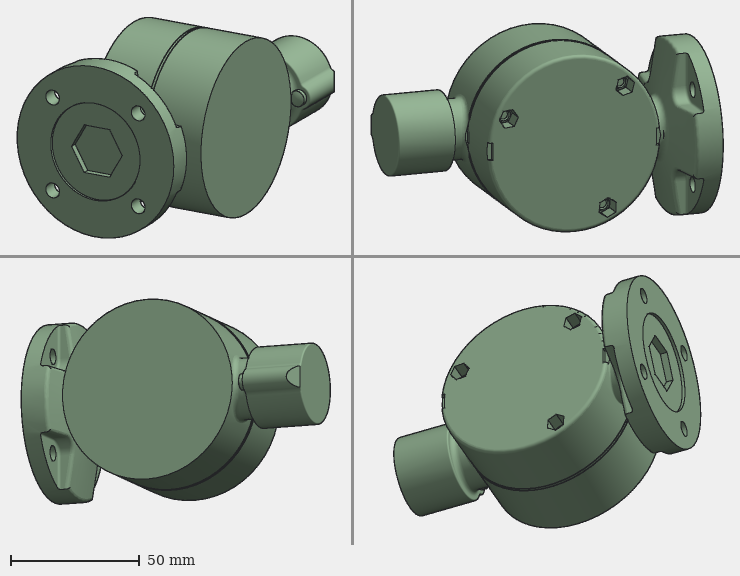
import cadquery as cq
import math

SELECT_MARGIN = 0.6

JOIN_OVERLAP = 1.2

HEX_HALF_STEP = 30.0

BODY_DIAMETER = 71.0
BODY_RADIUS = BODY_DIAMETER / 2
BODY_LEFT = -13.5
BODY_RIGHT = 36.9
RIM_FILLET = 1.4
SEAM_START = 10.9
SEAM_WIDTH = 1.2
SEAM_DEPTH = 0.2
PORT_ROOT_FILLET = 2.0
FLANGE_ROOT_FILLET = 0.6

NOTCH_WIDTH = 6.9
NOTCH_DEPTH = 1.8

SCREW_CIRCLE_RADIUS = 30.0
SCREW_MIDDLE_ANGLE = 134.0
SCREW_STEP_ANGLE = 109.0
WELL_ACROSS_CORNERS = 7.8
WELL_DEPTH = 7.1
SCREW_HEAD_RADIUS = 2.8
SCREW_HEAD_HEIGHT = 1.2
SCREW_SOCKET_RADIUS = 2.3
SCREW_SOCKET_DEPTH = 0.7
SCREW_SOCKET_TAPER = 35.0

FLANGE_FACE_Y = -53.6
FLANGE_RADIUS = 35.0
FLANGE_EDGE_FILLET = 1.5
FLANGE_NECK_RADIUS = 11.7
FLANGE_NECK_FILLET = 2.4
CONE_TOP_Y = -38.5
CONE_ANGLE = 10.0
CONE_RIM_Y = CONE_TOP_Y - (FLANGE_RADIUS - FLANGE_NECK_RADIUS) * math.tan(math.radians(CONE_ANGLE))
BOLT_OFFSET = 19.1
BOLT_HOLE_DIAMETER = 6.0
BOLT_PAD_Y = -46.6
BOLT_PAD_CORNER = 5.9
BOLT_PAD_FLOOR_FILLET = 1.1
PLUG_RADIUS = 19.9
PLUG_RECESS = 1.2
HEX_KEY_ACROSS_FLATS = 19.5
HEX_KEY_DEPTH = 2.8

PORT_X = 23.2
PORT_RADIUS = 15.9
PORT_BOTTOM_Y = 41.6
PORT_TOP_Y = 64.9
PORT_EDGE_FILLET = 0.6
PORT_NECK_RADIUS = 12.0
PORT_NECK_FILLET = 2.4

LUG_X = 37.2
LUG_RADIUS = 5.0
LUG_BLEND_RADIUS = 2.4
LUG_BEVEL_WIDTH = 2.6
LUG_BEVEL_HEIGHT = 4.7
LOCK_SCREW_RADIUS = 3.2
LOCK_SCREW_EDGE_Y = 39.6
LOCK_SCREW_TIP_Y = 38.6


def cylinder_y(x, radius, start_y, end_y):
    """Cylinder along +Y, centred on Z = 0."""
    return cq.Workplane("XZ", origin=(x, start_y, 0)).circle(radius).extrude(start_y - end_y)


def make_flange():
    """Flange disc with a conical back, blended into its neck."""
    flange = (
        cq.Workplane("XY")
        .moveTo(0, FLANGE_FACE_Y)
        .lineTo(FLANGE_RADIUS, FLANGE_FACE_Y)
        .lineTo(FLANGE_RADIUS, CONE_RIM_Y)
        .lineTo(FLANGE_NECK_RADIUS, CONE_TOP_Y)
        .lineTo(FLANGE_NECK_RADIUS, 0)
        .lineTo(0, 0)
        .close()
        .revolve(360, (0, 0, 0), (0, 1, 0))
    )
    neck_root = cq.selectors.BoxSelector(
        (-FLANGE_RADIUS, CONE_TOP_Y - SELECT_MARGIN, -FLANGE_RADIUS),
        (FLANGE_RADIUS, CONE_TOP_Y + SELECT_MARGIN, FLANGE_RADIUS),
    )
    return flange.edges(neck_root).fillet(FLANGE_NECK_FILLET)


def cut_bolt_pads(flange):
    """Four square-cornered pads, open to the rim, each with a bolt hole; rim and pad edges rounded."""
    inner = BOLT_OFFSET - BOLT_PAD_CORNER
    pad = (
        cq.Workplane("XY")
        .box(FLANGE_RADIUS, -BOLT_PAD_Y, FLANGE_RADIUS, centered=False)
        .edges("|Y and <X and <Z")
        .fillet(BOLT_PAD_CORNER)
        .faces("<Y")
        .edges()
        .fillet(BOLT_PAD_FLOOR_FILLET)
        .translate((inner, BOLT_PAD_Y, inner))
    )
    hole = (
        cq.Workplane("XZ", origin=(BOLT_OFFSET, 0, BOLT_OFFSET))
        .circle(BOLT_HOLE_DIAMETER / 2)
        .extrude(-FLANGE_FACE_Y)
    )
    for quarter in range(4):
        flange = flange.cut(pad.union(hole).rotate((0, 0, 0), (0, 1, 0), 90 * quarter))
    crown = cq.selectors.BoxSelector(
        (-FLANGE_RADIUS, CONE_RIM_Y - SELECT_MARGIN, -FLANGE_RADIUS),
        (FLANGE_RADIUS, CONE_TOP_Y - SELECT_MARGIN, FLANGE_RADIUS),
    )
    return flange.edges(crown).fillet(FLANGE_EDGE_FILLET)


def cut_plug(part):
    """Shallow round recess with a hexagonal key socket in the flange face."""
    recess = cylinder_y(0, PLUG_RADIUS, FLANGE_FACE_Y, FLANGE_FACE_Y + PLUG_RECESS)
    key = (
        cq.Workplane("XZ", origin=(0, FLANGE_FACE_Y, 0))
        .polygon(6, HEX_KEY_ACROSS_FLATS, circumscribed=True)
        .extrude(-(PLUG_RECESS + HEX_KEY_DEPTH))
        .rotate((0, 0, 0), (0, 1, 0), HEX_HALF_STEP)
    )
    return part.cut(recess).cut(key)


def neck_root_box(x, side):
    """Selector for the edge where a neck centred at x leaves the drum on the given Y side."""
    root_depth = BODY_RADIUS - math.sqrt(BODY_RADIUS**2 - PORT_NECK_RADIUS**2) + SELECT_MARGIN
    inner_y = side * (BODY_RADIUS - root_depth)
    outer_y = side * (BODY_RADIUS + SELECT_MARGIN)
    low_y = min(inner_y, outer_y)
    high_y = max(inner_y, outer_y)
    return cq.selectors.BoxSelector(
        (x - SELECT_MARGIN, low_y, -PORT_NECK_RADIUS), (x + SELECT_MARGIN, high_y, PORT_NECK_RADIUS)
    )


def make_housing():
    """Drum joined to both necks, with blended neck roots and a rounded cover rim."""
    length = BODY_RIGHT - BODY_LEFT + PORT_ROOT_FILLET
    drum = cq.Workplane("YZ", origin=(BODY_LEFT, 0, 0)).circle(BODY_RADIUS).extrude(length)
    drum = drum.faces("<X").edges().fillet(RIM_FILLET)
    port_neck = cylinder_y(PORT_X, PORT_NECK_RADIUS, 0, PORT_BOTTOM_Y)
    flange = cut_bolt_pads(make_flange())
    housing = drum.union(port_neck).union(flange)
    housing = housing.edges(neck_root_box(PORT_X, 1)).fillet(PORT_ROOT_FILLET)
    housing = housing.edges(neck_root_box(0, -1)).fillet(FLANGE_ROOT_FILLET)
    right_end = (
        cq.Workplane("YZ", origin=(BODY_RIGHT, 0, 0))
        .rect(3 * BODY_RADIUS, 3 * BODY_RADIUS)
        .extrude(2 * PORT_ROOT_FILLET)
    )
    left_blend = (
        cq.Workplane("XY", origin=(SEAM_START, 0, 0))
        .box(BODY_RADIUS, PORT_BOTTOM_Y, 2 * BODY_RADIUS, centered=(False, False, True))
        .translate((-BODY_RADIUS, 0, 0))
        .cut(cq.Workplane("YZ", origin=(-BODY_RADIUS, 0, 0)).circle(BODY_RADIUS).extrude(2 * BODY_RADIUS))
    )
    return housing.cut(right_end).cut(left_blend)


def cut_seam(part):
    """Shallow band around the drum where its two halves meet, stopping at the necks."""
    band = (
        cq.Workplane("YZ", origin=(SEAM_START, 0, 0))
        .circle(BODY_RADIUS + SEAM_DEPTH)
        .circle(BODY_RADIUS - SEAM_DEPTH)
        .extrude(SEAM_WIDTH)
    )
    port_zone = cylinder_y(PORT_X, PORT_NECK_RADIUS + PORT_ROOT_FILLET, 0, PORT_BOTTOM_Y)
    flange_zone = cylinder_y(0, FLANGE_NECK_RADIUS + FLANGE_ROOT_FILLET, FLANGE_FACE_Y, 0)
    return part.cut(band.cut(port_zone).cut(flange_zone))


def cut_rim_notches(part):
    """Pry notches at the +Y and -Y ends of the cover rim."""
    for side in (-1, 1):
        notch = cq.Workplane("XY").box(2 * NOTCH_DEPTH, 2 * NOTCH_DEPTH, NOTCH_WIDTH)
        part = part.cut(notch.translate((BODY_LEFT, side * BODY_RADIUS, 0)))
    return part


def cut_screw_wells(part):
    """Hexagonal wells with a flat turned outward, each with a round screw head at its floor."""
    for step in (-1, 0, 1):
        well = (
            cq.Workplane("YZ", origin=(BODY_LEFT, 0, 0))
            .polygon(6, WELL_ACROSS_CORNERS)
            .extrude(WELL_DEPTH)
            .rotate((0, 0, 0), (1, 0, 0), HEX_HALF_STEP)
        )
        head = (
            cq.Workplane("YZ", origin=(BODY_LEFT + WELL_DEPTH, 0, 0))
            .circle(SCREW_HEAD_RADIUS)
            .extrude(-SCREW_HEAD_HEIGHT)
            .faces("<X")
            .workplane()
            .circle(SCREW_SOCKET_RADIUS)
            .cutBlind(-SCREW_SOCKET_DEPTH, taper=SCREW_SOCKET_TAPER)
        )
        angle = SCREW_MIDDLE_ANGLE + step * SCREW_STEP_ANGLE
        cutter = well.cut(head).translate((0, SCREW_CIRCLE_RADIUS, 0))
        part = part.cut(cutter.rotate((0, 0, 0), (1, 0, 0), angle))
    return part


def make_port():
    """Round port head with a blended bevelled lug and a flared underside."""
    head = cylinder_y(PORT_X, PORT_RADIUS, PORT_BOTTOM_Y, PORT_TOP_Y)
    lug = cylinder_y(LUG_X, LUG_RADIUS, PORT_BOTTOM_Y, PORT_TOP_Y)
    head = head.union(lug)
    lug_joints = cq.selectors.BoxSelector(
        (PORT_X + PORT_NECK_RADIUS, PORT_BOTTOM_Y, -PORT_NECK_RADIUS),
        (LUG_X + LUG_RADIUS, PORT_TOP_Y, PORT_NECK_RADIUS),
    )
    head = head.edges("|Y").edges(lug_joints).edges("<Z or >Z").fillet(LUG_BLEND_RADIUS)
    head = head.faces("<Y or >Y").edges().fillet(PORT_EDGE_FILLET)
    lug_tip = LUG_X + LUG_RADIUS
    bevel = (
        cq.Workplane("XY")
        .moveTo(lug_tip, PORT_TOP_Y - LUG_BEVEL_HEIGHT)
        .lineTo(lug_tip - LUG_BEVEL_WIDTH, PORT_TOP_Y)
        .lineTo(lug_tip, PORT_TOP_Y)
        .close()
        .extrude(PORT_RADIUS, both=True)
    )
    flare_bottom = PORT_BOTTOM_Y - PORT_NECK_FILLET
    flare_radius = PORT_NECK_RADIUS + PORT_NECK_FILLET
    arc_mid = PORT_NECK_FILLET * (1 - math.sqrt(0.5))
    flare = (
        cq.Workplane("XY", origin=(PORT_X, 0, 0))
        .moveTo(0, flare_bottom)
        .lineTo(PORT_NECK_RADIUS, flare_bottom)
        .threePointArc((PORT_NECK_RADIUS + arc_mid, PORT_BOTTOM_Y - arc_mid), (flare_radius, PORT_BOTTOM_Y))
        .lineTo(flare_radius, PORT_BOTTOM_Y + JOIN_OVERLAP)
        .lineTo(0, PORT_BOTTOM_Y + JOIN_OVERLAP)
        .close()
        .revolve(360, (0, 0, 0), (0, 1, 0))
    )
    return head.cut(bevel).union(flare)


def make_lock_screw():
    """Oval-headed screw below the lug."""
    dome_sag = LOCK_SCREW_EDGE_Y - LOCK_SCREW_TIP_Y
    dome_radius = (LOCK_SCREW_RADIUS**2 + dome_sag**2) / (2 * dome_sag)
    half_angle = math.asin(LOCK_SCREW_RADIUS / dome_radius) / 2
    dome_mid = (
        dome_radius * math.sin(half_angle),
        LOCK_SCREW_TIP_Y + dome_radius * (1 - math.cos(half_angle)),
    )
    return (
        cq.Workplane("XY", origin=(LUG_X, 0, 0))
        .moveTo(0, LOCK_SCREW_TIP_Y)
        .threePointArc(dome_mid, (LOCK_SCREW_RADIUS, LOCK_SCREW_EDGE_Y))
        .lineTo(LOCK_SCREW_RADIUS, PORT_BOTTOM_Y + JOIN_OVERLAP)
        .lineTo(0, PORT_BOTTOM_Y + JOIN_OVERLAP)
        .close()
        .revolve(360, (0, 0, 0), (0, 1, 0))
    )


housing = make_housing()
housing = cut_seam(housing)
housing = cut_rim_notches(housing)
housing = cut_screw_wells(housing)
housing = cut_plug(housing)
result = housing.union(make_port()).union(make_lock_screw())